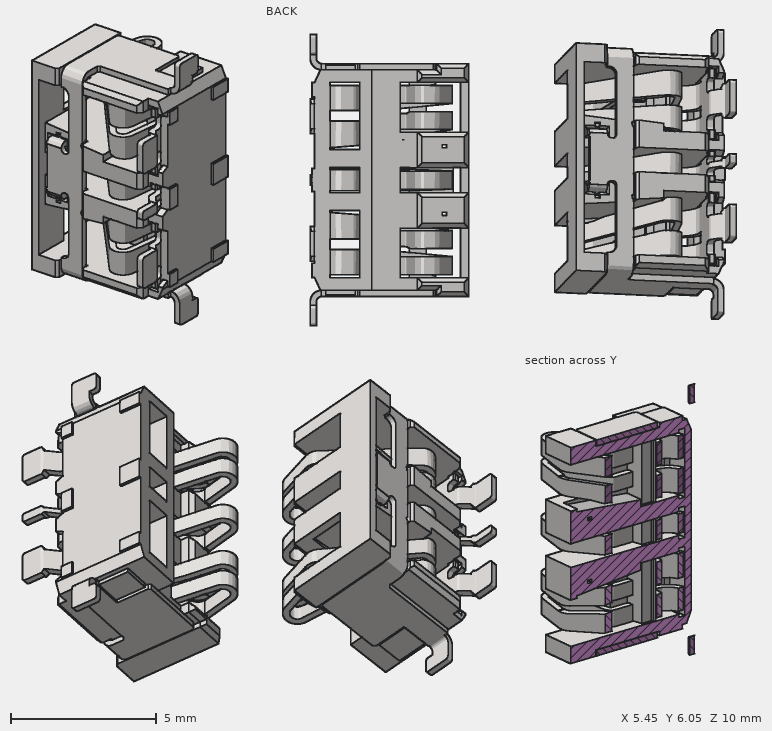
import cadquery as cq
import math


BLOCK_HALF_Z = 4.0
SHEET = 0.22
BODY_HALF_Z = BLOCK_HALF_Z - SHEET
MAX_X = 5.45
FAR = 10.0

BLOCK_X = 1.11
TOOTH_X = 1.77
TOOTH_Y = 3.72
TOOTH_CHAMFER = 0.16
BLOCK_FRONT_CHAMFER = 0.1
RIB_X0, RIB_X1 = 2.12, 4.69
RIB_LEFT_CHAMFER = 0.1
RIB_CHAMFER = 0.16
RIB_REAR_Y = 3.22
REAR_X, REAR_Y = 3.33, 4.03
WALL_X, WALL_FRONT_Y = 5.3, 0.46
RECESS_REAR_Y = 0.75
WALL_CORNER_X, WALL_CORNER_Z = 0.2, 0.43
LEFT_WALL_X = 0.29
SLOT_BOTTOM_Y = 1.42
WALL_FACE_X = 4.76
OUTER_SLOT_Z = (1.65, 3.35)
CENTRE_SLOT_HALF_Z = 0.43
POCKET_Z = 1.05
POCKET_X = 3.08
POCKET_REAR_Y = 2.94

STRIP_Y = 0.16
SEAT_Y = STRIP_Y + SHEET
STRIP_X0, STRIP_X1 = 1.14, 2.05
STRIP_NARROW_X = 1.46
BEND_R = 0.4
TONGUE_X = 0.53
FLAP_X0, FLAP_X1 = 0.5, 1.14
FLAP_Z = 1.1
FLAP_REAR_Y = 0.9
FLAP_BEND_R = 0.24
RELIEF_Z = 0.75
TAB_TOP_Z = 5.0

STRIP_T = 0.24
HALF_T = STRIP_T / 2
PLATE_CX = WALL_FACE_X + HALF_T
PLATE_BOTTOM_Y, PLATE_TOP_Y = 0.5, 1.8
OUTER_CONTACT_Z = 2.19
OUTER_PLATE_HALF = 1.27
CENTRE_PLATE_HALF = 0.57


def box(x0, x1, y0, y1, z0, z1):
    return cq.Workplane("XY").box(x1 - x0, y1 - y0, z1 - z0, centered=False).translate((x0, y0, z0))


def prism_xy(points, z0, z1):
    return cq.Workplane("XY").workplane(offset=z0).polyline(points).close().extrude(z1 - z0)


def prism_xz(points, y0, y1):
    """Outline in (x, z) extruded from y0 to y1."""
    return cq.Workplane("XZ", origin=(0, y0, 0)).polyline(points).close().extrude(y0 - y1)


def prism_yz(points, x0, x1):
    """Outline in (y, z) extruded from x0 to x1."""
    return cq.Workplane("YZ", origin=(x0, 0, 0)).polyline(points).close().extrude(x1 - x0)


def both_ends(shape):
    """The shape together with its mirror image in Z = 0."""
    return shape.union(shape.mirror("XY"))


def ribbon(points, radii, z0, z1):
    """Bent sheet: a centreline with one bend radius per inner point, extruded in Z."""
    path = [cq.Vector(*p) for p in points]
    left, right = [], []

    def side_points(direction, at):
        normal = cq.Vector(-direction.y, direction.x) * HALF_T
        left.append((at + normal,) * 3)
        right.append((at - normal,) * 3)

    side_points((path[1] - path[0]).normalized(), path[0])
    for before, corner, after, radius in zip(path, path[1:], path[2:], radii):
        d_in = (corner - before).normalized()
        d_out = (after - corner).normalized()
        turn = math.atan2(d_in.x * d_out.y - d_in.y * d_out.x, d_in.dot(d_out))
        sign = math.copysign(1, turn)
        start = corner - d_in * (radius * math.tan(abs(turn) / 2))
        n_in = cq.Vector(-d_in.y, d_in.x)
        n_out = cq.Vector(-d_out.y, d_out.x)
        n_mid = (n_in + n_out).normalized()
        centre = start + n_in * (sign * radius)
        for side, offset in ((left, HALF_T), (right, -HALF_T)):
            reach = offset - sign * radius
            side.append(tuple(centre + n * reach for n in (n_in, n_mid, n_out)))
    side_points((path[-1] - path[-2]).normalized(), path[-1])

    outline = cq.Workplane("XY").workplane(offset=z0).moveTo(left[0][0].x, left[0][0].y)
    back = [(end, middle, start) for start, middle, end in reversed(right)]
    for start, middle, end in left[1:] + back:
        outline = outline.lineTo(start.x, start.y)
        if (end - start).Length > 0:
            outline = outline.threePointArc((middle.x, middle.y), (end.x, end.y))
    return outline.close().extrude(z1 - z0)


def housing_teeth():
    """Comb teeth at the rear left, chamfered all round their tips."""
    slot_low, slot_high = OUTER_SLOT_Z
    outer_outline = [
        (0, slot_high), (TOOTH_X, slot_high), (TOOTH_X, BODY_HALF_Z),
        (BLOCK_X, BODY_HALF_Z), (BLOCK_X, BLOCK_HALF_Z), (0, BLOCK_HALF_Z),
    ]
    outer = prism_xz(outer_outline, SLOT_BOTTOM_Y, TOOTH_Y)
    inner = box(0, TOOTH_X, SLOT_BOTTOM_Y, TOOTH_Y, CENTRE_SLOT_HALF_Z, slot_low)
    outer = outer.faces(">Y").edges().chamfer(TOOTH_CHAMFER)
    inner = inner.faces(">Y").edges().chamfer(TOOTH_CHAMFER)
    return both_ends(outer.union(inner))


def housing_blank():
    """Outer shape before the finger cavities are cut."""
    body_outline = [
        (0, SEAT_Y), (RIB_X0, SEAT_Y), (RIB_X0, RIB_LEFT_CHAMFER), (RIB_X0 + RIB_LEFT_CHAMFER, 0),
        (RIB_X1 - RIB_CHAMFER, 0), (RIB_X1, RIB_CHAMFER), (RIB_X1, WALL_FRONT_Y),
        (WALL_X, WALL_FRONT_Y), (WALL_X, REAR_Y), (REAR_X, REAR_Y), (REAR_X, RIB_REAR_Y),
        (0, RIB_REAR_Y),
    ]
    body = prism_xy(body_outline, -BODY_HALF_Z, BODY_HALF_Z)
    seat_edge_x = RIB_X0 / 2
    for z in (-BODY_HALF_Z, BODY_HALF_Z):
        body = body.edges(cq.NearestToPointSelector((seat_edge_x, SEAT_Y, z))).fillet(BEND_R - SHEET)
    rib_edge = prism_yz(
        [(0, BODY_HALF_Z), (0, BODY_HALF_Z - RIB_CHAMFER), (RIB_CHAMFER, BODY_HALF_Z)], RIB_X0, RIB_X1)
    wall_corner = prism_xz(
        [(WALL_X, BODY_HALF_Z), (WALL_X - WALL_CORNER_X, BODY_HALF_Z), (WALL_X, BODY_HALF_Z - WALL_CORNER_Z)],
        WALL_FRONT_Y, REAR_Y)
    body = body.cut(both_ends(rib_edge)).cut(both_ends(wall_corner))
    block_outline = [
        (0, 0), (BLOCK_X - BLOCK_FRONT_CHAMFER, 0), (BLOCK_X, BLOCK_FRONT_CHAMFER),
        (BLOCK_X, RIB_REAR_Y), (0, RIB_REAR_Y),
    ]
    block = prism_xy(block_outline, -BLOCK_HALF_Z, BLOCK_HALF_Z)
    return body.union(block)


def housing_cavities():
    """Finger cavities, which leave the left wall, a cross bar and the right wall standing."""
    bar_left_x, bar_mid_y = 2.35, 2.94
    bar_low_x0, bar_low_x1, bar_low_y = 3.22, 3.64, 2.3
    bar_right_x, bar_lip_y = 3.75, 2.2
    outline = [
        (-0.1, SLOT_BOTTOM_Y), (LEFT_WALL_X, SLOT_BOTTOM_Y), (LEFT_WALL_X, -0.1), (WALL_FACE_X, -0.1),
        (WALL_FACE_X, FAR), (bar_right_x, FAR), (bar_right_x, bar_lip_y), (bar_low_x1, bar_lip_y),
        (bar_low_x1, bar_low_y), (bar_low_x0, bar_low_y), (POCKET_X, bar_mid_y), (bar_left_x, bar_mid_y),
        (bar_left_x, RIB_REAR_Y), (REAR_X, RIB_REAR_Y), (REAR_X, FAR), (-0.1, FAR),
    ]
    slot_low, slot_high = OUTER_SLOT_Z
    centre = prism_xy(outline, -CENTRE_SLOT_HALF_Z, CENTRE_SLOT_HALF_Z)
    outer = prism_xy(outline, slot_low, slot_high)
    splay_start_z, splay_end_z = 1.56, 1.31
    splay = prism_xz(
        [(LEFT_WALL_X, slot_low), (LEFT_WALL_X, splay_start_z),
         (POCKET_X, splay_end_z), (POCKET_X, slot_low)],
        -0.1, POCKET_REAR_Y)
    deep_front = box(POCKET_X, WALL_FACE_X, -0.1, bar_lip_y, POCKET_Z, slot_low)
    deep_bar = prism_xy(outline, POCKET_Z, slot_low).intersect(
        box(POCKET_X, WALL_FACE_X, bar_lip_y, FAR, POCKET_Z, slot_low))
    deep = deep_front.union(deep_bar)
    window = box(LEFT_WALL_X, BLOCK_X, -0.1, SEAT_Y, -slot_high, slot_high)
    return centre.union(both_ends(outer.union(splay).union(deep))).union(window)


def plate_seat(centre_z, half_width, opening_half, lead_in):
    """Slot for a contact plate, its lead-in and the flared recess that lets the tail out."""
    slot_rear_y = 3.0
    flare = 0.15
    slot_x1 = WALL_FACE_X + STRIP_T
    slot = box(WALL_FACE_X, slot_x1, -0.1, slot_rear_y, centre_z - half_width, centre_z + half_width)
    entry = box(
        WALL_FACE_X - lead_in, slot_x1 + 2 * lead_in, -0.1, RECESS_REAR_Y,
        centre_z - half_width, centre_z + half_width + lead_in)
    recess = prism_yz(
        [(WALL_FRONT_Y, centre_z - opening_half), (WALL_FRONT_Y, centre_z + opening_half),
         (RECESS_REAR_Y, centre_z + opening_half - flare), (RECESS_REAR_Y, centre_z - opening_half + flare)],
        WALL_FACE_X + HALF_T, WALL_X)
    return slot.union(entry).union(recess)


def flap_pocket():
    """Pocket in an inner rib for a tongue flap, with a bevelled mouth, a notch and a slit."""
    fit, bevel = 0.01, 0.1
    x0, x1 = FLAP_X0 - fit, FLAP_X1 + fit
    z0, z1 = FLAP_Z - SHEET - fit, FLAP_Z + fit
    mouth_z = z1 + bevel
    pocket = box(x0, x1, SEAT_Y, FLAP_REAR_Y + fit, z0, z1)
    mouth = box(x0 - bevel, x1 + bevel, SEAT_Y - bevel, SEAT_Y + bevel, z0 - bevel, mouth_z)
    mouth = mouth.faces(">Y").edges().chamfer(bevel)
    slit_x0, slit_x1 = 0.77, 0.91
    notch_side, notch_depth, notch_top_z = 0.02, 0.15, 1.33
    slit = box(slit_x0, slit_x1, SEAT_Y, FAR, z1, mouth_z)
    notch = box(
        slit_x0 - notch_side, slit_x1 + notch_side, SEAT_Y, SEAT_Y + notch_depth, mouth_z, notch_top_z)
    return both_ends(pocket.union(mouth).union(slit).union(notch))


def housing_pads():
    """Raised pads: one on each end face, and stand-off feet on the right wall."""
    pad_x0, pad_x1 = 3.9, 4.92
    pad_y0, pad_y1 = 2.0, 3.22
    pad_top_z = 3.94
    pad = box(pad_x0, pad_x1, pad_y0, pad_y1, BODY_HALF_Z - 0.1, pad_top_z)
    pads = both_ends(pad)
    foot_rise, centre_foot_half, outer_foot_width = 0.09, 0.4, 0.5
    outer_foot_top = OUTER_SLOT_Z[1]
    for y0, y1 in ((0.75, 1.2), (3.21, REAR_Y)):
        foot_x0, foot_x1 = WALL_X - 0.1, WALL_X + foot_rise
        centre_foot = box(foot_x0, foot_x1, y0, y1, -centre_foot_half, centre_foot_half)
        outer_foot = box(foot_x0, foot_x1, y0, y1, outer_foot_top - outer_foot_width, outer_foot_top)
        pads = pads.union(centre_foot).union(both_ends(outer_foot))
    return pads


def make_housing():
    housing = housing_blank().union(housing_teeth()).union(housing_pads())
    housing = housing.cut(housing_cavities()).cut(flap_pocket())
    outer_seat = plate_seat(OUTER_CONTACT_Z, OUTER_PLATE_HALF, opening_half=1.1, lead_in=0.05)
    centre_seat = plate_seat(0, CENTRE_PLATE_HALF, opening_half=CENTRE_PLATE_HALF, lead_in=0)
    housing = housing.cut(both_ends(outer_seat)).cut(centre_seat)
    return housing


def shield_channel():
    """Front strip and the two end plates, bent into one channel."""
    arm_end_x, arm_y0, arm_y1 = 5.06, 1.08, 1.99
    plate_x, plate_y = 3.82, 3.37
    corner = 0.08
    side_outline = [
        (TONGUE_X, 0), (STRIP_X1, 0), (STRIP_X1, arm_y0 - corner), (STRIP_X1 + corner, arm_y0),
        (arm_end_x, arm_y0), (arm_end_x, arm_y1), (plate_x, arm_y1),
        (plate_x, plate_y - corner), (plate_x - corner, plate_y),
        (STRIP_X0 + corner, plate_y), (STRIP_X0, plate_y - corner), (STRIP_X0, SEAT_Y),
        (TONGUE_X, SEAT_Y),
    ]
    outer = box(0, MAX_X, STRIP_Y, FAR, -BLOCK_HALF_Z, BLOCK_HALF_Z)
    outer = outer.faces("<Y").edges("|X").fillet(BEND_R)
    inner = box(0, MAX_X, SEAT_Y, FAR, -BODY_HALF_Z, BODY_HALF_Z)
    inner = inner.faces("<Y").edges("|X").fillet(BEND_R - SHEET)
    return outer.cut(inner).intersect(prism_xy(side_outline, -BLOCK_HALF_Z, BLOCK_HALF_Z))


def shield_front_cuts():
    """Relief beside the tongue, up to the wide ends of the strip."""
    slot_r = (STRIP_NARROW_X - FLAP_X1) / 2
    wide_z, curve_z = 3.27, 3.05
    curve_middle = (1.38, 3.19)
    relief = (
        cq.Workplane("XZ")
        .moveTo(FLAP_X1, RELIEF_Z + slot_r)
        .threePointArc((FLAP_X1 + slot_r, RELIEF_Z), (STRIP_NARROW_X, RELIEF_Z + slot_r))
        .lineTo(STRIP_NARROW_X, curve_z)
        .threePointArc(curve_middle, (STRIP_X0, wide_z))
        .lineTo(STRIP_X0, BLOCK_HALF_Z)
        .lineTo(0, BLOCK_HALF_Z)
        .lineTo(0, RELIEF_Z + slot_r)
        .close()
        .extrude(-SEAT_Y)
    )
    nick_r, nick_depth, nick_z = 0.11, 0.05, 1.28
    nick_x = STRIP_X1 + nick_r - nick_depth
    nick = cq.Workplane("XZ", origin=(nick_x, 0, nick_z)).circle(nick_r).extrude(-SEAT_Y)
    return both_ends(relief.union(nick))


def shield_flaps():
    """Flaps bent rearward from the upper and lower edges of the tongue."""
    joint_z = FLAP_Z - FLAP_BEND_R - 0.1
    flap_mid_x = (FLAP_X0 + FLAP_X1) / 2
    profile = box(FLAP_X0, FLAP_X1, STRIP_Y, FLAP_REAR_Y, joint_z, FLAP_Z)
    profile = profile.edges(cq.NearestToPointSelector((flap_mid_x, STRIP_Y, FLAP_Z))).fillet(FLAP_BEND_R)
    flap = profile.cut(box(FLAP_X0, FLAP_X1, SEAT_Y, FLAP_REAR_Y, joint_z, FLAP_Z - SHEET))
    return both_ends(flap)


def shield_tabs():
    """Solder tabs curling outward from the arms and ending in a hooked pad."""
    outer_r = 0.4
    inner_r = outer_r - SHEET
    bend_x = MAX_X - outer_r
    bend_z = BODY_HALF_Z + outer_r
    diagonal = math.sqrt(0.5)
    profile = (
        cq.Workplane("XZ")
        .moveTo(bend_x, BODY_HALF_Z)
        .threePointArc((bend_x + outer_r * diagonal, bend_z - outer_r * diagonal), (MAX_X, bend_z))
        .lineTo(MAX_X, TAB_TOP_Z)
        .lineTo(MAX_X - SHEET, TAB_TOP_Z)
        .lineTo(MAX_X - SHEET, bend_z)
        .threePointArc((bend_x + inner_r * diagonal, bend_z - inner_r * diagonal), (bend_x, BLOCK_HALF_Z))
        .close()
        .extrude(-FAR)
    )
    tab_y0, neck_y, hook_y, hook_z = 1.23, 1.96, 2.27, 4.3
    pad_r = 0.12
    outline = [
        (tab_y0, BODY_HALF_Z), (neck_y, BODY_HALF_Z), (neck_y, hook_z), (hook_y, hook_z),
        (hook_y, TAB_TOP_Z), (tab_y0, TAB_TOP_Z),
    ]
    sides = prism_yz(outline, bend_x, MAX_X)
    sides = sides.edges("|X and >Y").fillet(pad_r)
    sides = sides.faces("<Y").edges("|X and >Z").fillet(pad_r)
    return both_ends(profile.intersect(sides))


def make_shield():
    channel = shield_channel().cut(shield_front_cuts())
    return channel.union(shield_flaps()).union(shield_tabs())


KNEE = (0.65, 3.35)
JOINT = (0.71, 3.59)
LOOP_APEX = (1.47, 6.85)
FOOT_BEND = (2.05, 2.58)
FOOT_END_X = 2.94
BOW_APEX = (3.65, -0.11)
ARCH_LEFT = (3.94, 2.74)


def contact_finger(loop_outline, spring_outline):
    """Contact loop with its free foot, and the tapered spring that carries it.

    loop_outline is the (y, z) outline of the loop, spring_outline the (x, z) outline of the spring."""
    foot_r, loop_r = 0.2, 0.39
    knee_r, bow_r, arch_left_r, arch_right_r = 0.42, 0.35, 0.13, 0.8
    loop = ribbon(
        [(FOOT_END_X, FOOT_BEND[1]), FOOT_BEND, LOOP_APEX, JOINT],
        [foot_r, loop_r], -BLOCK_HALF_Z, BLOCK_HALF_Z)
    spring = ribbon(
        [JOINT, KNEE, BOW_APEX, ARCH_LEFT, (PLATE_CX, ARCH_LEFT[1]), (PLATE_CX, PLATE_TOP_Y)],
        [knee_r, bow_r, arch_left_r, arch_right_r], -BLOCK_HALF_Z, BLOCK_HALF_Z)
    loop = loop.intersect(prism_yz(loop_outline, 0, FAR))
    return loop.union(spring.intersect(prism_xz(spring_outline, -0.1, FAR)))


def loop_sides(z0, z1, foot_z1):
    """Even loop between z0 and z1 whose far edge narrows to foot_z1 at the foot."""
    return [(0, z0), (FAR, z0), (FAR, z1), (JOINT[1], z1), (FOOT_BEND[1], foot_z1), (0, foot_z1)]


def contact_base(centre_z, plate_half, neck_half, tail_half, notch_width, notch_r):
    """Press-fit plate and the solder tail cranked out from its lower edge."""
    plate = box(
        WALL_FACE_X, WALL_FACE_X + STRIP_T, PLATE_BOTTOM_Y, PLATE_TOP_Y, -plate_half, plate_half)
    leg_chamfer = 0.04
    plate = plate.faces("<Y").edges().chamfer(leg_chamfer)
    notch_top_y = 0.8
    notch = box(
        WALL_FACE_X, WALL_FACE_X + STRIP_T, 0, notch_top_y, neck_half, neck_half + notch_width)
    notch = notch.faces(">Y").edges("|X").fillet(notch_r)
    plate = plate.cut(both_ends(notch))

    tail_cx = MAX_X - HALF_T
    crank_r, end_bend_r = 0.2, 0.16
    crank_y, tail_bend_y, tail_end_y = 0.4, -0.05, -0.84
    tail = ribbon(
        [(PLATE_CX, notch_top_y), (PLATE_CX, crank_y), (tail_cx, tail_bend_y), (tail_cx, tail_end_y)],
        [crank_r, end_bend_r], -tail_half, tail_half)
    shoulder_y, shoulder_run, end_r = 0.04, 0.08, min(0.12, tail_half / 2)
    half_outline = [
        (notch_top_y, neck_half), (shoulder_y, neck_half), (shoulder_y - shoulder_run, tail_half),
        (tail_end_y, tail_half),
    ]
    outline = half_outline + [(y, -z) for y, z in reversed(half_outline)]
    tail_sides = prism_yz(outline, 0, FAR).edges("|X and <Y").fillet(end_r)
    tail = tail.intersect(tail_sides)
    return plate.union(tail).translate((0, 0, centre_z))


def outer_contact():
    """Upper double-finger contact."""
    start_x, full_x, end_x = 0.5, 3.1, 5.1
    far_edge, far_loop_edge, near_gap_edge = 3.25, 2.63, 2.38
    near_loop_edges, foot_edge, gap_edge = (1.74, 2.35), 2.28, 2.03
    far_outline = [
        (start_x, far_loop_edge), (full_x, near_gap_edge), (end_x, near_gap_edge),
        (end_x, far_edge), (start_x, far_edge),
    ]
    near_outline = [
        (start_x, near_loop_edges[0]), (1.16, 1.65), (1.44, 1.56), (3.08, 1.32), (3.2, 1.23), (end_x, 1.08),
        (end_x, gap_edge), (full_x, gap_edge), (start_x, near_loop_edges[1]),
    ]
    far_finger = contact_finger(loop_sides(far_loop_edge, far_edge, far_edge), far_outline)
    near_finger = contact_finger(loop_sides(*near_loop_edges, foot_edge), near_outline)
    base = contact_base(
        OUTER_CONTACT_Z, OUTER_PLATE_HALF, neck_half=0.43, tail_half=0.6, notch_width=0.48, notch_r=0.15)
    return base.union(far_finger).union(near_finger)


def centre_contact():
    """Single-finger contact."""
    loop_half, spring_half = 0.31, 0.37
    start_x, full_x, end_x = 0.5, 2.0, 5.1
    half_outline = [(start_x, loop_half), (full_x, spring_half), (end_x, spring_half)]
    outline = half_outline + [(x, -z) for x, z in reversed(half_outline)]
    base = contact_base(
        0, CENTRE_PLATE_HALF, neck_half=0.1, tail_half=0.18, notch_width=0.24, notch_r=0.11)
    return base.union(contact_finger(loop_sides(-loop_half, loop_half, loop_half), outline))


housing = make_housing()
shield = make_shield()
upper_contact = outer_contact()
contacts = [upper_contact, upper_contact.mirror("XY"), centre_contact()]

result = cq.Compound.makeCompound(
    [housing.val(), shield.val()] + [contact.val() for contact in contacts])